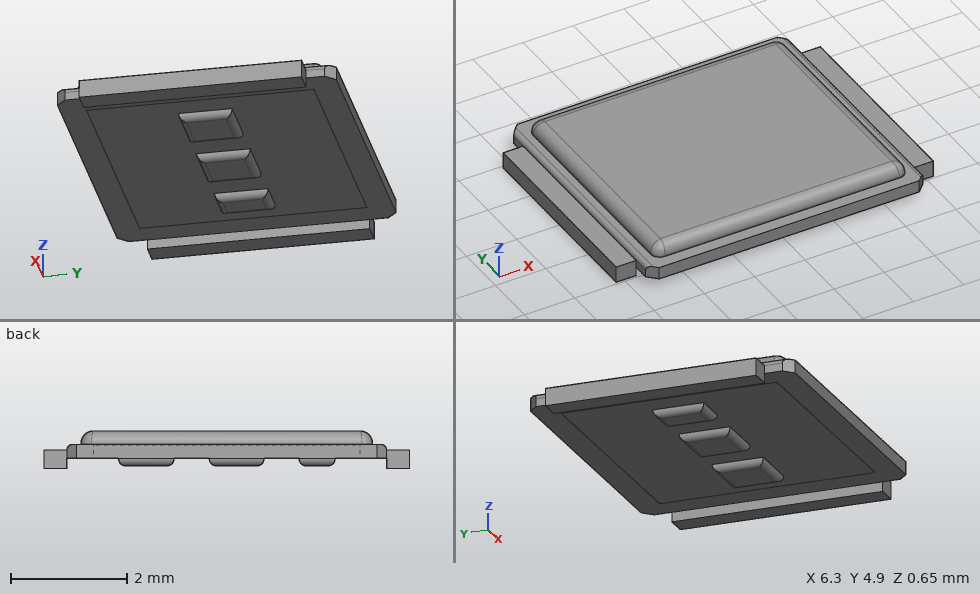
import cadquery as cq

total_length = 6.3
total_width = 4.9
total_height = 0.65

rail_length = 0.4
rail_width = 3.905
rail_height = 0.32

flange_length = total_length - 2 * rail_length
flange_bottom = 0.175
flange_top = 0.415
flange_corner_chamfer = 0.17
flange_edge_radius = flange_top - rail_height

crown_length = 5.02
crown_width = 4.42
crown_height = total_height - flange_top
crown_corner_radius = 0.175
crown_edge_radius = 0.215

die_length = crown_length - 2 * crown_edge_radius
die_width = crown_width - 2 * crown_edge_radius
die_thickness = crown_height

pad_bottom = 0.045
pad_height = flange_bottom - pad_bottom
pad_edge_radius = 0.125
pad_width = 0.945
gate_pad_length = 0.625
gate_pad_x = -1.555
inner_source_pad_length = 0.945
inner_source_pad_x = -0.17
outer_source_pad_length = 0.96
outer_source_pad_x = 1.385


def block(length, width, bottom, height):
    """Box centred on the Z axis, standing on the given height."""
    return cq.Workplane("XY").workplane(offset=bottom).rect(length, width).extrude(height)


def make_flange():
    """Plate with chamfered corners and its two short top edges rounded."""
    flange = block(flange_length, total_width, flange_bottom, flange_top - flange_bottom)
    flange = flange.edges("|Z").chamfer(flange_corner_chamfer)
    return flange.faces(">Z").edges("<X or >X").fillet(flange_edge_radius)


def make_crown():
    """Raised block with rounded corners and a rounded top rim."""
    crown = block(crown_length, crown_width, flange_top, crown_height)
    crown = crown.edges("|Z").fillet(crown_corner_radius)
    return crown.faces(">Z").edges().fillet(crown_edge_radius)


def make_rail(side):
    """Terminal rail on the -X side (side = -1) or the +X side (side = 1)."""
    centre_x = side * (total_length - rail_length) / 2
    return block(rail_length, rail_width, 0, rail_height).translate((centre_x, 0, 0))


def make_die_block():
    """Plain die slab, flush with the underside of the flange."""
    return block(die_length, die_width, flange_bottom, die_thickness)


def make_pad(centre_x, length):
    """Contact pad with its bottom edges rounded."""
    pad = block(length, pad_width, pad_bottom, pad_height)
    return pad.faces("<Z").edges().fillet(pad_edge_radius).translate((centre_x, 0, 0))


def make_can():
    """Metal can: flange, crown and rails in one piece, with a pocket for the die."""
    can = make_flange().union(make_crown())
    for side in (-1, 1):
        can = can.union(make_rail(side))
    return can.cut(make_die_block())


def make_die():
    """Die slab with its gate pad and two source pads."""
    die = make_die_block()
    die = die.union(make_pad(gate_pad_x, gate_pad_length))
    die = die.union(make_pad(inner_source_pad_x, inner_source_pad_length))
    return die.union(make_pad(outer_source_pad_x, outer_source_pad_length))


can = make_can()
die = make_die()
result = cq.Compound.makeCompound([can.solids().val(), die.solids().val()])